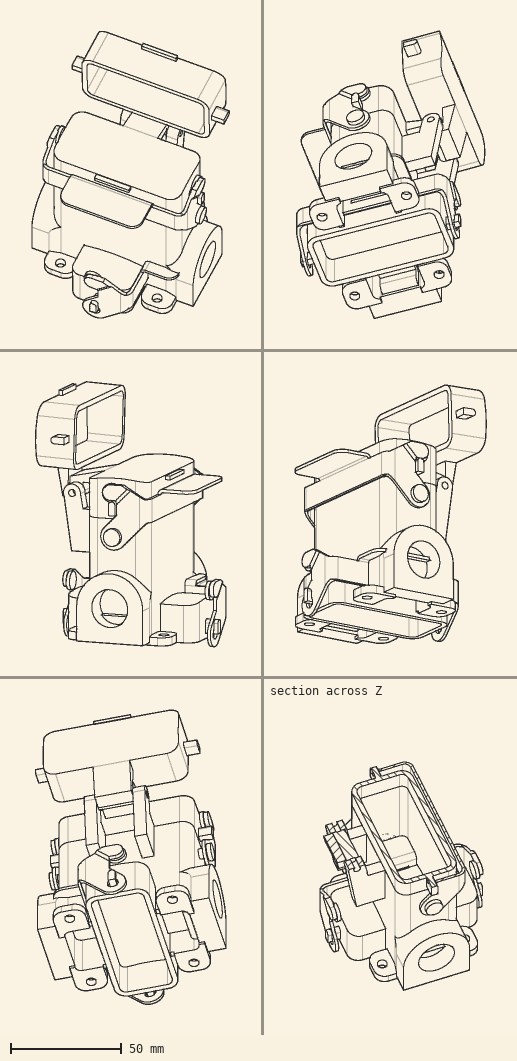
import cadquery as cq
import math


LENGTH = 63.0
WIDTH = 29.5
CORNER_RADIUS = 5.5
WALL = 2.5

LID_SIDE_HEIGHT = 17.2
LID_CROWN = 1.6
LID_CEILING = 1.4
PEG_WIDTH = 3.2
PEG_BOTTOM = 2.5
PEG_TOP = 8.9
PEG_SPAN = 75.3
TAB_WIDTH = 17.1
TAB_REACH = 2.3
TAB_TOP = 16.8
TAB_HEIGHT = 1.7
ARM_TIP_TOP = 13.5
ARM_UNDERSIDE = 11.1
HINGE_Y = 28.4
HINGE_HEIGHT = 7.0
ARM_KNUCKLE_RADIUS = 3.1
OPEN_ANGLE = 88.3

HOUSING_HEIGHT = 55.8
BOSS_RADIUS = 16.0
BOSS_SPAN = 80.0
BOSS_BLEND = CORNER_RADIUS
BORE_DIAMETER = 17.4
BORE_DEPTH = 10.4
FOOT_INNER_X = 16.5
FOOT_INNER_Y = 9.6
FOOT_OUTER_Y = 25.0
FOOT_TOP = 2.5
FOOT_BOTTOM = -1.3
FOOT_RADIUS = 5.0
FOOT_HOLE_DIAMETER = 4.5
FOOT_HOLE_X = 23.9
FOOT_HOLE_Y = 20.0
BRACKET_THICKNESS = 5.6
BRACKET_BOTTOM = 36.1
BRACKET_FOOT_Y = 28.6
BRACKET_NOTCH_Y = 23.0
BRACKET_KNUCKLE_RADIUS = 4.1
HINGE_HOLE_DIAMETER = 3.2
STUD_DIAMETER = 4.7
STUD_HEAD_DIAMETER = 8.0
STUD_HEAD_SPAN = 75.3

UPPER_PIVOT_Z = 48.2
LOWER_PIVOT_Z = 0.05
LEVER_THICKNESS = 1.5
LEVER_SPAN = 71.3
LEVER_REACH = 17.1
LEVER_BEND_RADIUS = 4.4
LEVER_PIVOT_RADIUS = 6.1
LEVER_HOLE_DIAMETER = 5.0
BAR_BOTTOM = 7.2
BAR_TOP = 18.0
NOTCH_FORWARD = 1.6
HEAD_RADIUS = 3.5
HEAD_CENTRE = (-1.3, 20.5)
HEAD_FLAT_END = 4.5
SHOULDER_FORWARD = 15.0
STEP_START = (3.5, 17.0)
STEP_LENGTH = 1.5
STEP_HEIGHT = 0.9
PAD_RADIUS = 4.2
PAD_CENTRE = (-1.5, 19.9)
PAD_SPAN = 69.2
PAD_THICKNESS = 1.7
HANDLE_WIDTH = 40.1
HANDLE_REACH = 32.6
HANDLE_TOP = 20.4
HANDLE_RADIUS = 5.2
HANDLE_BEND_RADIUS = HANDLE_TOP - BAR_TOP

LOWER_LID_Z = -2.4


def block(x_range, y_range, z_range):
    """Box between the given limits on each axis."""
    size = [high - low for low, high in (x_range, y_range, z_range)]
    return cq.Workplane("XY").box(*size, centered=False).translate((x_range[0], y_range[0], z_range[0]))


def along_x(outline, length):
    """Extrude a YZ outline by equal amounts to both sides of X = 0."""
    return outline.extrude(length / 2, both=True)




def domed_block(inset, drop):
    """Rounded block with a crowned top, drawn in by `inset` on its sides and lowered by `drop`."""
    half_width = WIDTH / 2
    footprint = (
        cq.Workplane("XY")
        .rect(LENGTH - 2 * inset, WIDTH - 2 * inset)
        .extrude(LID_SIDE_HEIGHT + LID_CROWN)
        .edges("|Z")
        .fillet(CORNER_RADIUS - inset)
    )
    side = LID_SIDE_HEIGHT - drop
    crown = (
        cq.Workplane("YZ")
        .moveTo(-half_width, 0)
        .lineTo(-half_width, side)
        .threePointArc((0, side + LID_CROWN), (half_width, side))
        .lineTo(half_width, 0)
        .close()
    )
    return footprint.intersect(along_x(crown, LENGTH))


def lid_pegs():
    """Bar with a rounded upper edge, sticking out at both ends of the lid."""
    radius = PEG_WIDTH / 2
    outline = (
        cq.Workplane("YZ")
        .moveTo(-radius, PEG_BOTTOM)
        .lineTo(-radius, PEG_TOP - radius)
        .threePointArc((0, PEG_TOP), (radius, PEG_TOP - radius))
        .lineTo(radius, PEG_BOTTOM)
        .close()
    )
    return along_x(outline, PEG_SPAN)


def lid_arm():
    """Hinge arm that tapers away from the lid and turns down into a round knuckle."""
    tip_y = HINGE_Y + ARM_KNUCKLE_RADIUS
    inner_y = HINGE_Y - ARM_KNUCKLE_RADIUS
    root_y = WIDTH / 2 - WALL / 2
    outline = (
        cq.Workplane("YZ")
        .moveTo(root_y, ARM_UNDERSIDE)
        .lineTo(root_y, LID_SIDE_HEIGHT)
        .lineTo(WIDTH / 2, LID_SIDE_HEIGHT)
        .lineTo(tip_y, ARM_TIP_TOP)
        .lineTo(tip_y, HINGE_HEIGHT)
        .threePointArc((HINGE_Y, HINGE_HEIGHT - ARM_KNUCKLE_RADIUS), (inner_y, HINGE_HEIGHT))
        .lineTo(inner_y, ARM_UNDERSIDE)
        .close()
    )
    return along_x(outline, TAB_WIDTH)


def lid_tab():
    """Small lip on the front edge, opposite the hinge arm."""
    half = TAB_WIDTH / 2
    front_y = -WIDTH / 2
    z_range = (TAB_TOP - TAB_HEIGHT, TAB_TOP)
    return block((-half, half), (front_y - TAB_REACH, front_y + WALL / 2), z_range)


def make_lid():
    """Closed lid with its rim plane at Z = 0 and its hinge arm towards +Y."""
    outside = domed_block(0, 0).union(lid_pegs()).union(lid_arm()).union(lid_tab())
    return outside.cut(domed_block(WALL, LID_CEILING))




def lever_silhouette():
    """Side outline of the whole lever, as a prism across the full span."""
    tangent = LEVER_PIVOT_RADIUS / math.sqrt(2)
    diagonal = LEVER_PIVOT_RADIUS * math.sqrt(2)
    head_forward, head_z = HEAD_CENTRE
    outline = (
        cq.Workplane("YZ")
        .moveTo(tangent, tangent)
        .lineTo(-NOTCH_FORWARD, NOTCH_FORWARD + diagonal)
        .lineTo(-NOTCH_FORWARD, head_z - HEAD_RADIUS)
        .lineTo(-head_forward, head_z - HEAD_RADIUS)
        .threePointArc((HEAD_RADIUS - head_forward, head_z), (-head_forward, head_z + HEAD_RADIUS))
        .lineTo(-HEAD_FLAT_END, head_z + HEAD_RADIUS)
        .lineTo(-SHOULDER_FORWARD, BAR_TOP)
        .lineTo(-LEVER_REACH, BAR_TOP)
        .lineTo(-LEVER_REACH, BAR_BOTTOM)
        .lineTo(-BAR_BOTTOM - diagonal, BAR_BOTTOM)
        .lineTo(-tangent, -tangent)
        .threePointArc((tangent, -tangent), (tangent, tangent))
        .close()
    )
    return along_x(outline, LEVER_SPAN + 2 * STEP_HEIGHT)


def lever_bar():
    """Cross bar with its two rounded corners, as tall as the whole lever."""
    outer_x = LEVER_SPAN / 2
    bend_end = LEVER_BEND_RADIUS - LEVER_REACH
    height = 2 * BAR_TOP

    def bent_block(inset):
        half = outer_x - inset
        front = inset - LEVER_REACH
        return (
            block((-half, half), (front, 0), (0, height))
            .edges("|Z and <Y")
            .fillet(LEVER_BEND_RADIUS - inset)
        )

    sheet = bent_block(0).cut(bent_block(LEVER_THICKNESS))
    return sheet.intersect(block((-outer_x, outer_x), (-LEVER_REACH, bend_end), (0, height)))


def lever_leg():
    """Flat leg at +X whose outer face steps out along a 45 degree line to thicken the head."""
    outer = LEVER_SPAN / 2
    inner = outer - LEVER_THICKNESS
    reach = 2 * HANDLE_REACH
    section = [
        (-reach, inner),
        (-reach, outer),
        (0, outer),
        (STEP_LENGTH, outer + STEP_HEIGHT),
        (reach, outer + STEP_HEIGHT),
        (reach, inner),
    ]
    step_plane = cq.Plane(origin=(0, -STEP_START[0], STEP_START[1]), xDir=(0, 1, 1), normal=(0, -1, 1))
    leg = cq.Workplane(step_plane).polyline([(past, -x) for past, x in section]).close()
    leg = leg.extrude(reach, both=True)
    bend_end = LEVER_BEND_RADIUS - LEVER_REACH
    return leg.intersect(block((0, LEVER_SPAN), (bend_end, reach), (-reach, reach)))


def lever_pad():
    """Round pad on the inner face of the head at +X."""
    pad_forward, pad_z = PAD_CENTRE
    return (
        cq.Workplane("YZ", origin=(PAD_SPAN / 2, -pad_forward, pad_z))
        .circle(PAD_RADIUS)
        .extrude(-PAD_THICKNESS)
    )


def lever_handle():
    """Finger plate that bends outward from the top of the bar, with rounded corners."""
    bend_y = LEVER_THICKNESS - LEVER_REACH - HANDLE_BEND_RADIUS
    underside = HANDLE_TOP - LEVER_THICKNESS
    outer = HANDLE_BEND_RADIUS
    inner = outer - LEVER_THICKNESS
    diagonal = math.sqrt(0.5)
    section = (
        cq.Workplane("YZ")
        .moveTo(bend_y + outer, BAR_TOP)
        .threePointArc((bend_y + outer * diagonal, BAR_TOP + outer * diagonal), (bend_y, HANDLE_TOP))
        .lineTo(-HANDLE_REACH, HANDLE_TOP)
        .lineTo(-HANDLE_REACH, underside)
        .lineTo(bend_y, underside)
        .threePointArc((bend_y + inner * diagonal, BAR_TOP + inner * diagonal), (bend_y + inner, BAR_TOP))
        .close()
    )
    plate = along_x(section, HANDLE_WIDTH)
    return plate.edges("|Z and <Y").fillet(HANDLE_RADIUS)


def make_lever():
    """Bail lever with its pivot axis on X and its handle towards -Y."""
    leg = lever_leg()
    sheet = lever_bar().union(leg).union(leg.mirror("YZ")).intersect(lever_silhouette())
    pad = lever_pad()
    pivot_hole = along_x(cq.Workplane("YZ").circle(LEVER_HOLE_DIAMETER / 2), 2 * LEVER_SPAN)
    return sheet.union(pad).union(pad.mirror("YZ")).union(lever_handle()).cut(pivot_hole)




def cable_boss():
    """Arched boss at +X that blends back into the long housing walls."""
    arch = (
        cq.Workplane("YZ")
        .moveTo(-BOSS_RADIUS, 0)
        .lineTo(-BOSS_RADIUS, BOSS_RADIUS)
        .threePointArc((0, 2 * BOSS_RADIUS), (BOSS_RADIUS, BOSS_RADIUS))
        .lineTo(BOSS_RADIUS, 0)
        .close()
        .extrude(BOSS_SPAN / 2)
    )
    blend_start = LENGTH / 2 - BOSS_BLEND
    half_plan = [
        (blend_start, WIDTH / 2),
        (LENGTH / 2, BOSS_RADIUS),
        (BOSS_SPAN / 2, BOSS_RADIUS),
    ]
    plan = half_plan + [(x, -y) for x, y in reversed(half_plan)]
    return arch.intersect(cq.Workplane("XY").polyline(plan).close().extrude(2 * BOSS_RADIUS))


def bore():
    """Blind cable bore in the boss at +X."""
    mouth = cq.Workplane("YZ", origin=(BOSS_SPAN / 2, 0, BOSS_RADIUS))
    return mouth.circle(BORE_DIAMETER / 2).extrude(-BORE_DEPTH)


def stud():
    """Headed lever stud at +X."""
    axis = cq.Workplane("YZ", origin=(LENGTH / 2 - WALL / 2, 0, UPPER_PIVOT_Z))
    shank = axis.circle(STUD_DIAMETER / 2).extrude(STUD_HEAD_SPAN / 2 - LENGTH / 2 + WALL / 2)
    head = (
        cq.Workplane("YZ", origin=(LEVER_SPAN / 2, 0, UPPER_PIVOT_Z))
        .circle(STUD_HEAD_DIAMETER / 2)
        .extrude((STUD_HEAD_SPAN - LEVER_SPAN) / 2)
    )
    return shank.union(head)


def hinge_bracket():
    """Upright hinge plate at +X, behind the back wall, with a round knuckle."""
    hinge_z = HOUSING_HEIGHT + HINGE_HEIGHT
    radius = BRACKET_KNUCKLE_RADIUS
    wall_y = WIDTH / 2 - WALL / 2
    outline = [
        (wall_y, BRACKET_BOTTOM),
        (BRACKET_FOOT_Y, BRACKET_BOTTOM),
        (HINGE_Y + radius, hinge_z),
        (HINGE_Y - radius, hinge_z),
        (BRACKET_NOTCH_Y, HOUSING_HEIGHT),
        (wall_y, HOUSING_HEIGHT),
    ]
    side = cq.Workplane("YZ", origin=(TAB_WIDTH / 2, 0, 0))
    plate = side.polyline(outline).close().extrude(BRACKET_THICKNESS)
    knuckle = side.center(HINGE_Y, hinge_z).circle(radius).extrude(BRACKET_THICKNESS)
    hole = side.center(HINGE_Y, hinge_z).circle(HINGE_HOLE_DIAMETER / 2).extrude(BRACKET_THICKNESS)
    return plate.union(knuckle).cut(hole)


def foot():
    """Mounting foot at +X +Y, with two rounded outer corners and a screw hole."""
    plate = block((FOOT_INNER_X, LENGTH / 2), (FOOT_INNER_Y, FOOT_OUTER_Y), (FOOT_BOTTOM, FOOT_TOP))
    plate = plate.edges("|Z and >Y").fillet(FOOT_RADIUS)
    hole = (
        cq.Workplane("XY", origin=(FOOT_HOLE_X, FOOT_HOLE_Y, FOOT_BOTTOM))
        .circle(FOOT_HOLE_DIAMETER / 2)
        .extrude(FOOT_TOP - FOOT_BOTTOM)
    )
    return plate.cut(hole)


def make_housing():
    """Open shell with cable bosses, lever studs, hinge brackets and mounting feet."""
    shell = cq.Workplane("XY").rect(LENGTH, WIDTH).extrude(HOUSING_HEIGHT).edges("|Z").fillet(CORNER_RADIUS)
    cavity = (
        cq.Workplane("XY", origin=(0, 0, FOOT_BOTTOM))
        .rect(LENGTH - 2 * WALL, WIDTH - 2 * WALL)
        .extrude(HOUSING_HEIGHT - FOOT_BOTTOM)
        .edges("|Z")
        .fillet(CORNER_RADIUS - WALL)
    )
    end_feet = foot().union(foot().mirror("XZ"))
    for feature in (cable_boss(), end_feet, stud(), hinge_bracket()):
        shell = shell.union(feature).union(feature.mirror("YZ"))
    return shell.cut(cavity).cut(bore()).cut(bore().mirror("YZ"))




def turn_to_lower(body, height):
    """Turn a body a quarter turn about Z, so that -Y becomes +X, and set its height."""
    return body.rotate((0, 0, 0), (0, 0, 1), 90).translate((0, 0, height))


lid = make_lid()
lever = make_lever()

closed_lid = lid.translate((0, 0, HOUSING_HEIGHT))
hinge_point = (0, HINGE_Y, HOUSING_HEIGHT + HINGE_HEIGHT)
hinge_axis_end = (1, HINGE_Y, HOUSING_HEIGHT + HINGE_HEIGHT)
open_lid = closed_lid.rotate(hinge_point, hinge_axis_end, -OPEN_ANGLE).cut(closed_lid)

lower_lid = turn_to_lower(lid, LOWER_LID_Z)
lower_lid_room = turn_to_lower(domed_block(0, 0), LOWER_LID_Z)

upper_lever = lever.translate((0, 0, UPPER_PIVOT_Z)).cut(closed_lid)
lower_lever = turn_to_lower(lever, LOWER_PIVOT_Z).cut(lower_lid)

housing = make_housing().cut(lower_lid_room).cut(lower_lid).cut(lower_lever)

bodies = (housing, closed_lid, open_lid, lower_lid, upper_lever, lower_lever)
result = cq.Compound.makeCompound([solid for body in bodies for solid in body.solids().vals()])